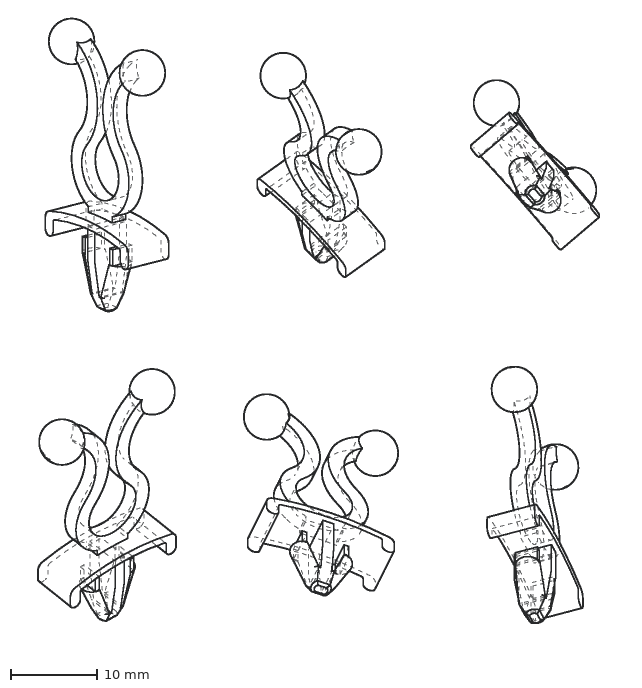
import cadquery as cq
import math

height = 33.8
width = 19.0

ball_radius = 2.67
strip = 2.0
ring_inner = 3.55
ring_z = 17.3
arm_inner = 5.88
arm_gap = 1.0
neck_width = 4.6

saddle_depth = 5.9
saddle_half = 8.0
saddle_top = 11.63
saddle_thick = 1.0
arch_radius = 28.73
leg_thick = 1.52
saddle_bottom = 7.65
corner_radius = 1.0
inner_corner_radius = 0.35

stem_thick = 1.4
stem_half_depth = 2.3
shoulder_z = 6.45
tip_z = 2.05
tip_half_depth = 1.65
tip_flat_half = 0.98
tip_reach = 2.03
nose_z = 0.3
nose_half_depth = 0.85
nose_flat_half = 0.8
nose_reach = 1.18
end_half_depth = 0.47
end_flat_half = 0.55
end_reach = 0.8
wing_inner = 2.33
wing_reach = 3.82
wing_half_depth = 1.5
tab_thick = 0.57
tab_half_depth = 1.4
tab_top = 8.5

ball_x = width / 2 - ball_radius
ball_z = height - ball_radius
ring_outer = ring_inner + strip
arm_outer = arm_inner + strip
arm_x = arm_gap / 2 + arm_outer
centre_distance = ring_inner + arm_outer
arm_rise = math.sqrt(centre_distance**2 - arm_x**2)
arm_z = ring_z + arm_rise
join_angle = math.atan2(arm_rise, arm_x)
ball_angle = math.atan2(ball_z - arm_z, ball_x - arm_x)


def mirrored(solid):
    """The solid together with its copy on the other side of X = 0."""
    return solid.union(solid.mirror("YZ"))


def polar(x, z, radius, angle):
    return (x + radius * math.cos(angle), z + radius * math.sin(angle))


def extrude_y(outline, depth):
    return outline.close().extrude(depth / 2, both=True)


def make_loop():
    """Open ring whose two ends curve outward into arms, in one constant-width strip."""
    arm_start = math.pi + join_angle
    arm_middle = (arm_start + ball_angle) / 2

    def ring_point(radius, side):
        x, z = polar(0, ring_z, radius, join_angle)
        return (side * x, z)

    def arm_point(radius, angle, side):
        x, z = polar(arm_x, arm_z, radius, angle)
        return (side * x, z)

    outline = (
        cq.Workplane("XZ")
        .moveTo(*arm_point(arm_inner, ball_angle, -1))
        .threePointArc(arm_point(arm_inner, arm_middle, -1), ring_point(ring_outer, -1))
        .threePointArc((0, ring_z - ring_outer), ring_point(ring_outer, 1))
        .threePointArc(arm_point(arm_inner, arm_middle, 1), arm_point(arm_inner, ball_angle, 1))
        .lineTo(*arm_point(arm_outer, ball_angle, 1))
        .threePointArc(arm_point(arm_outer, arm_middle, 1), ring_point(ring_inner, 1))
        .threePointArc((0, ring_z - ring_inner), ring_point(ring_inner, -1))
        .threePointArc(arm_point(arm_outer, arm_middle, -1), arm_point(arm_outer, ball_angle, -1))
    )
    return extrude_y(outline, strip)


def make_ball(side):
    return cq.Workplane("XY").sphere(ball_radius).translate((side * ball_x, 0, ball_z))


def make_neck():
    """Block joining the ring to the saddle."""
    bottom = saddle_top - saddle_thick / 2
    top = ring_z - math.sqrt(ring_outer**2 - (neck_width / 2) ** 2)
    return cq.Workplane("XY", origin=(0, 0, bottom)).rect(neck_width, strip).extrude(top - bottom)


def arch_z(x, radius):
    """Height at x of an arch face concentric with the upper face."""
    return saddle_top - arch_radius + math.sqrt(radius**2 - x**2)


def make_saddle():
    """Arched bridge with a round-ended leg on each side."""
    under_radius = arch_radius - saddle_thick
    leg_inner = saddle_half - leg_thick
    leg_round_z = saddle_bottom + leg_thick / 2
    outer_z = arch_z(saddle_half, arch_radius)
    inner_z = arch_z(leg_inner, under_radius)
    outline = (
        cq.Workplane("XZ")
        .moveTo(-saddle_half, outer_z)
        .threePointArc((0, saddle_top), (saddle_half, outer_z))
        .lineTo(saddle_half, leg_round_z)
        .threePointArc((saddle_half - leg_thick / 2, saddle_bottom), (leg_inner, leg_round_z))
        .lineTo(leg_inner, inner_z)
        .threePointArc((0, saddle_top - saddle_thick), (-leg_inner, inner_z))
        .lineTo(-leg_inner, leg_round_z)
        .threePointArc((leg_thick / 2 - saddle_half, saddle_bottom), (-saddle_half, leg_round_z))
    )
    saddle = extrude_y(outline, saddle_depth)

    def corner_edges(x, z):
        reach = 0.07
        return cq.selectors.BoxSelector(
            (x - reach, -saddle_depth, z - reach), (x + reach, saddle_depth, z + reach)
        )

    for side in (-1, 1):
        saddle = saddle.edges(corner_edges(side * saddle_half, outer_z)).edges("|Y").fillet(corner_radius)
        saddle = saddle.edges(corner_edges(side * leg_inner, inner_z)).edges("|Y").fillet(inner_corner_radius)
    return saddle


def make_stem():
    """Flat stem that narrows in depth between the shoulder and the tip."""
    top = saddle_top - saddle_thick / 2
    profile = cq.Workplane("YZ").polyline(
        [
            (-tip_half_depth, tip_z),
            (tip_half_depth, tip_z),
            (stem_half_depth, shoulder_z),
            (stem_half_depth, top),
            (-stem_half_depth, top),
            (-stem_half_depth, shoulder_z),
        ]
    )
    return profile.close().extrude(stem_thick / 2, both=True)


def tip_section(z, flat_half, half_depth, reach):
    """Section with flat front and back and bowed sides."""
    return (
        cq.Workplane("XY", origin=(0, 0, z))
        .moveTo(-flat_half, -half_depth)
        .lineTo(flat_half, -half_depth)
        .threePointArc((reach, 0), (flat_half, half_depth))
        .lineTo(-flat_half, half_depth)
        .threePointArc((-reach, 0), (-flat_half, -half_depth))
        .close()
        .val()
    )


def wing_section(z, inner, half_depth, reach):
    """Circle segment whose flat side faces the stem."""
    return (
        cq.Workplane("XY", origin=(0, 0, z))
        .moveTo(inner, -half_depth)
        .threePointArc((reach, 0), (inner, half_depth))
        .close()
        .val()
    )


def ruled_loft(lower, upper):
    return cq.Workplane(cq.Solid.makeLoft([lower, upper], True))


def make_tip():
    end = tip_section(0, end_flat_half, end_half_depth, end_reach)
    nose = tip_section(nose_z, nose_flat_half, nose_half_depth, nose_reach)
    top = tip_section(tip_z, tip_flat_half, tip_half_depth, tip_reach)
    return ruled_loft(end, nose).union(ruled_loft(nose, top))


def make_wing():
    """Right-hand barb with the thin tab standing on its shoulder."""
    barb = ruled_loft(
        wing_section(tip_z, tip_flat_half, tip_half_depth, tip_reach),
        wing_section(shoulder_z, wing_inner, wing_half_depth, wing_reach),
    )
    tab = (
        cq.Workplane("XY", origin=(wing_inner + tab_thick / 2, 0, shoulder_z))
        .rect(tab_thick, 2 * tab_half_depth)
        .extrude(tab_top - shoulder_z)
    )
    return barb.union(tab)


result = (
    make_loop()
    .union(make_ball(-1))
    .union(make_ball(1))
    .union(make_neck())
    .union(make_saddle())
    .union(make_stem())
    .union(make_tip())
    .union(mirrored(make_wing()))
)